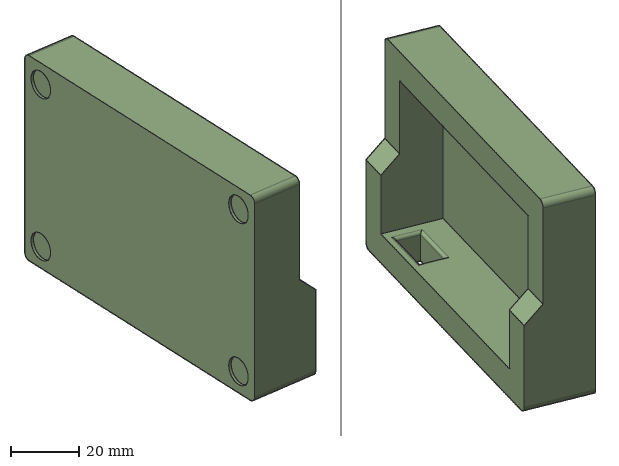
import cadquery as cq

width = 105.8
depth = 23.3
height = 70.5
corner_radius = 2.0

step_depth = 6.1
upper_depth = depth - step_depth
shoulder_top = 0.4
shoulder_drop = 5.7

wall = 9.9
floor = 3.0

slot_center_x = 30.9
slot_width = 16.0
slot_height = 8.0
slot_top = 20.3
slot_rounding = 1.0

foot_diameter = 9.0
foot_recess = 1.0
foot_inset = 7.4


def stepped_box():
    """Box with rounded corners and a sloped step from the deep to the shallow part."""
    box = (
        cq.Workplane("XY")
        .box(width, depth, height, centered=(True, False, True))
        .edges("|Y")
        .fillet(corner_radius)
    )
    step = (
        cq.Workplane("YZ")
        .moveTo(depth, shoulder_top - shoulder_drop)
        .lineTo(upper_depth, shoulder_top)
        .lineTo(upper_depth, height / 2)
        .lineTo(depth, height / 2)
        .close()
        .extrude(width / 2, both=True)
    )
    return box.cut(step)


def cavity():
    """Rectangular pocket that leaves an even wall and a thin floor."""
    return cq.Workplane("XY").box(
        width - 2 * wall, depth - floor, height - 2 * wall, centered=(True, False, True)
    ).translate((0, floor, 0))


def slot():
    """Rectangular opening from the lower outer face into the cavity."""
    return (
        cq.Workplane("XY", origin=(slot_center_x, slot_top - slot_height / 2, -height / 2))
        .rect(slot_width, slot_height)
        .extrude(wall)
    )


def round_slot_mouth(body):
    """Round over the edges of the slot where it meets the cavity."""
    inner_face = -height / 2 + wall
    center_y = slot_top - slot_height / 2
    reach = slot_rounding / 2
    mouth = cq.selectors.BoxSelector(
        (slot_center_x - slot_width / 2 - reach, center_y - slot_height / 2 - reach, inner_face - reach),
        (slot_center_x + slot_width / 2 + reach, center_y + slot_height / 2 + reach, inner_face + reach),
    )
    return body.edges(mouth).fillet(slot_rounding)


def foot_recesses():
    """One shallow disc at each corner of the floor's outer face."""
    return (
        cq.Workplane("XZ")
        .rect(width - 2 * foot_inset, height - 2 * foot_inset, forConstruction=True)
        .vertices()
        .circle(foot_diameter / 2)
        .extrude(-foot_recess)
    )


case = stepped_box().cut(cavity()).cut(slot()).cut(foot_recesses())
result = round_slot_mouth(case)